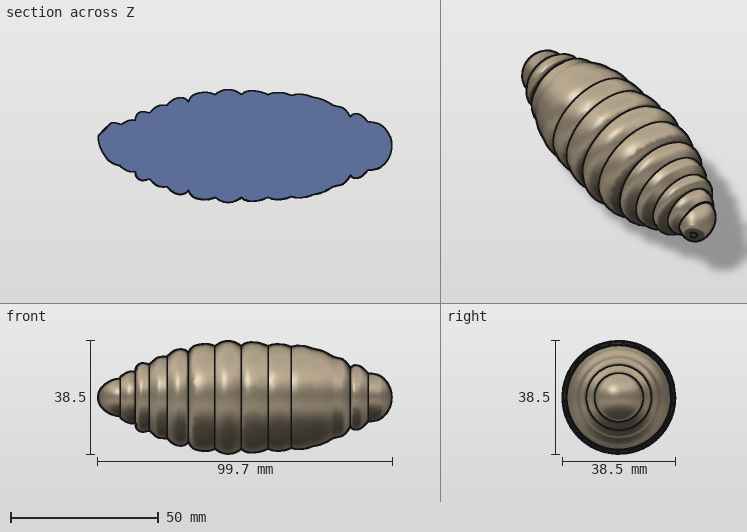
import cadquery as cq
import math

overall_length = 99.71
neck_x = 7.6
max_radius = 38.45 / 2

rings = [
    (5.1, 6.95, 7.95, 8.6, 8.9),
    (4.8, 8.75, 11.3, 11.75, 11.6),
    (6.0, 11.3, 12.75, 13.7, 13.95),
    (7.2, 13.97, 15.6, 16.4, 16.4),
    (9.0, 15.1, 17.65, 18.2, 18.2),
    (9.0, 17.5, 18.8, max_radius, 18.8),
    (9.0, 17.5, 18.7, 18.75, 18.35),
    (7.8, 17.5, 18.1, 18.2, 17.95),
    (7.2, 17.2, 17.6, 17.6, 17.3),
    (6.9, 16.65, 16.35, 15.8, 15.0),
    (6.0, 13.97, 13.55, 13.2, 12.1),
    (6.0, 9.9, 11.0, 10.8, 9.8),
    (4.5, 8.25, 8.2, 8.0, 7.7),
]
tail_radius = 7.1

head_axis_angle = -45.0
mouth_center = (2.29, 5.7)
mouth_radius = 2.75
dimple_radius = 1.2
dimple_depth = 0.1
lip_depth = 1.0
lip_radius = 4.1
cheek_depth = 7.2
cheek_radius = 6.45
nape_depth = 12.7
nape_radius = 4.85
lip_bulge = 0.2
cheek_bulge = 0.45
nape_bulge = 0.6


def bulged_arc(profile, start, end, bulge):
    """Add an arc from start to end that rises by bulge over the chord's middle."""
    length = math.dist(start, end)
    normal_x = (start[1] - end[1]) / length
    normal_y = (end[0] - start[0]) / length
    middle = (
        (start[0] + end[0]) / 2 + bulge * normal_x,
        (start[1] + end[1]) / 2 + bulge * normal_y,
    )
    return profile.threePointArc(middle, end)


def make_body():
    """Turn the chain of bulging rings and the round tail cap about X."""
    profile = cq.Workplane("XY").moveTo(neck_x, 0).lineTo(neck_x, rings[0][1])
    joint_radii = [ring[1] for ring in rings[1:]] + [tail_radius]
    x = neck_x
    for (length, _, quarter, middle, three_quarter), end_radius in zip(rings, joint_radii):
        profile = profile.spline(
            [
                (x + length / 4, quarter),
                (x + length / 2, middle),
                (x + length * 3 / 4, three_quarter),
                (x + length, end_radius),
            ],
            includeCurrent=True,
        )
        x += length
    cap_height = overall_length - x
    sphere_radius = (tail_radius**2 + cap_height**2) / (2 * cap_height)
    half_angle = math.asin(tail_radius / sphere_radius) / 2
    cap_middle = (
        overall_length - sphere_radius * (1 - math.cos(half_angle)),
        sphere_radius * math.sin(half_angle),
    )
    profile = profile.threePointArc(cap_middle, (overall_length, 0)).close()
    return profile.revolve(360, (0, 0, 0), (1, 0, 0))


def make_head():
    """Turn the blunt head about X, then swing and move it to the neck."""
    mouth = (0, mouth_radius)
    lip = (lip_depth, lip_radius)
    cheek = (cheek_depth, cheek_radius)
    nape = (nape_depth, nape_radius)
    profile = cq.Workplane("XY").moveTo(dimple_depth, 0).lineTo(dimple_depth, dimple_radius)
    profile = profile.lineTo(0, dimple_radius).lineTo(*mouth)
    profile = bulged_arc(profile, mouth, lip, lip_bulge)
    profile = bulged_arc(profile, lip, cheek, cheek_bulge)
    profile = bulged_arc(profile, cheek, nape, nape_bulge)
    profile = profile.lineTo(nape_depth, 0).close()
    head = profile.revolve(360, (0, 0, 0), (1, 0, 0))
    head = head.rotate((0, 0, 0), (0, 0, 1), head_axis_angle)
    return head.translate((*mouth_center, 0))


result = make_body().union(make_head())